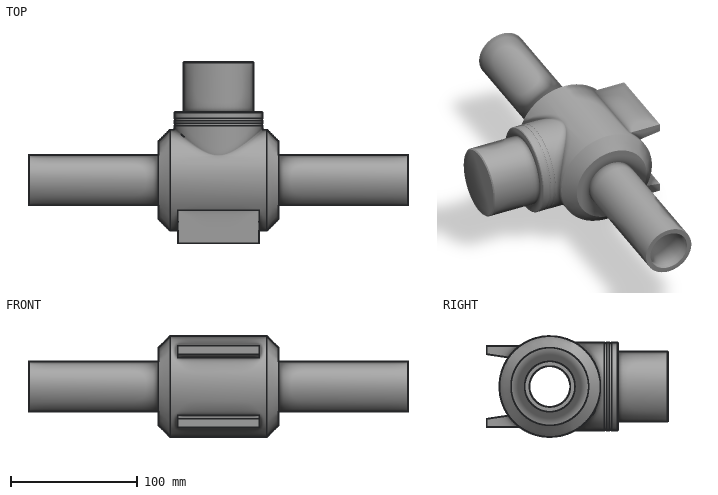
import cadquery as cq

pipe_length = 300.0
pipe_diameter = 40.0
bore_diameter = 32.0

body_length = 95.0
body_diameter = 80.0
body_chamfer = 9.3

branch_diameter = 55.8
branch_end = 94.0
branch_chamfer = 1.0
collar_diameter = 70.0
collar_end = 54.0
collar_chamfer = 0.5
neck_fillet = 1.0
groove_depth = 0.3
groove_spans = [(47.0, 49.0), (43.2, 45.0)]

fin_length = 64.2
fin_end = 50.0
fin_outer_height = 32.0
fin_tip_thickness = 6.5
fin_root_thickness = 9.5
fin_root = 30.0


def cylinder_x(diameter, length):
    """Cylinder along X, centred on the origin."""
    return cq.Workplane("YZ").circle(diameter / 2).extrude(length / 2, both=True)


def cylinder_y(diameter, start, end):
    """Cylinder along Y between two distances from the pipe axis."""
    plane = cq.Workplane("XZ", origin=(0, start, 0))
    return plane.circle(diameter / 2).extrude(start - end)


def make_branch():
    """Grooved collar with a narrower spigot at its outer end."""
    collar = cylinder_y(collar_diameter, 0, collar_end)
    collar = collar.faces(">Y").chamfer(collar_chamfer)
    for start, end in groove_spans:
        ring = cylinder_y(body_diameter, start, end)
        core = cylinder_y(collar_diameter - 2 * groove_depth, start, end)
        collar = collar.cut(ring.cut(core))
    spigot = cylinder_y(branch_diameter, 0, branch_end)
    spigot = spigot.faces(">Y").chamfer(branch_chamfer)
    return collar.union(spigot)


def make_fin():
    """Upper fin: flat on its outer side and thinner toward its tip."""
    profile = [
        (-fin_end, fin_outer_height),
        (-fin_end, fin_outer_height - fin_tip_thickness),
        (-fin_root, fin_outer_height - fin_root_thickness),
        (0, fin_outer_height - fin_root_thickness),
        (0, fin_outer_height),
    ]
    return cq.Workplane("YZ").polyline(profile).close().extrude(fin_length / 2, both=True)


body = cylinder_x(body_diameter, body_length).faces("<X or >X").chamfer(body_chamfer)
upper_fin = make_fin()
lower_fin = upper_fin.mirror("XY")

body_and_branch = body.union(make_branch())
neck_reach = (collar_diameter + body_diameter) / 4
neck_box = cq.selectors.BoxSelector(
    (-neck_reach, 0, -neck_reach),
    (neck_reach, body_diameter / 2, neck_reach),
)
body_and_branch = body_and_branch.edges(neck_box).fillet(neck_fillet)

result = (
    cylinder_x(pipe_diameter, pipe_length)
    .union(body_and_branch)
    .union(upper_fin)
    .union(lower_fin)
    .cut(cylinder_x(bore_diameter, pipe_length))
)